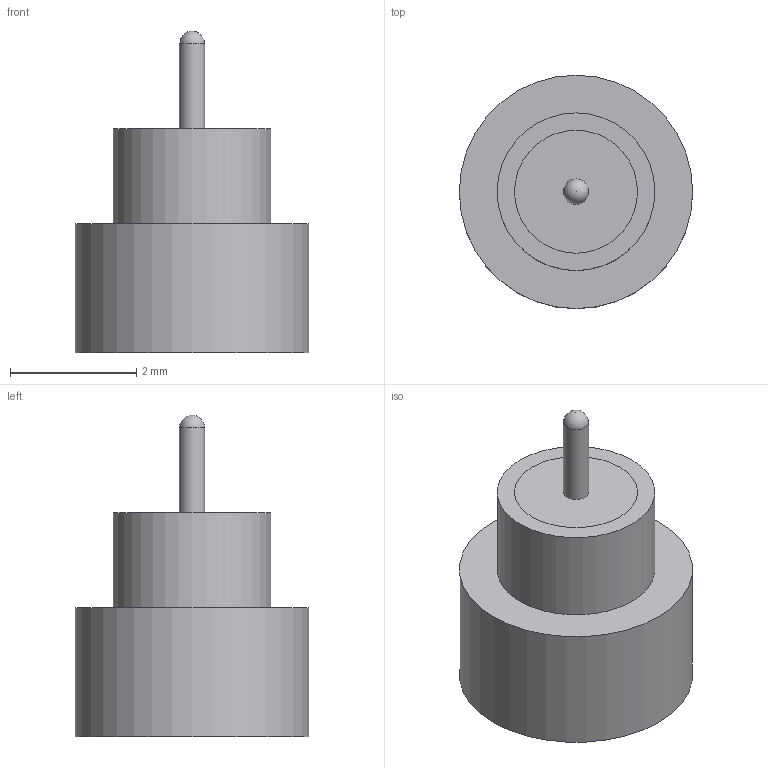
import cadquery as cq

base_diameter = 3.7
base_height = 2.05
collar_diameter = 2.5
collar_height = 1.5
insulator_diameter = 1.95
pin_diameter = 0.4
pin_length = 1.55

collar_top = base_height + collar_height
pin_radius = pin_diameter / 2
tip_top = collar_top + pin_length
dome_start = tip_top - pin_radius


def disc(diameter, bottom, top):
    """Upright cylinder on the Z axis between two levels."""
    return cq.Workplane("XY").workplane(offset=bottom).circle(diameter / 2).extrude(top - bottom)


def make_shell():
    """Stepped body with a bore in the collar for the insulator."""
    body = disc(base_diameter, 0, base_height).union(disc(collar_diameter, base_height, collar_top))
    return body.cut(disc(insulator_diameter, base_height, collar_top))


def make_pin():
    """Round pin with a hemispherical tip, standing on the insulator."""
    shank = disc(pin_diameter, collar_top, dome_start)
    return shank.faces(">Z").workplane().sphere(pin_radius)


insulator = disc(insulator_diameter, base_height, collar_top)
result = make_shell().union(insulator, clean=False).union(make_pin(), clean=False)